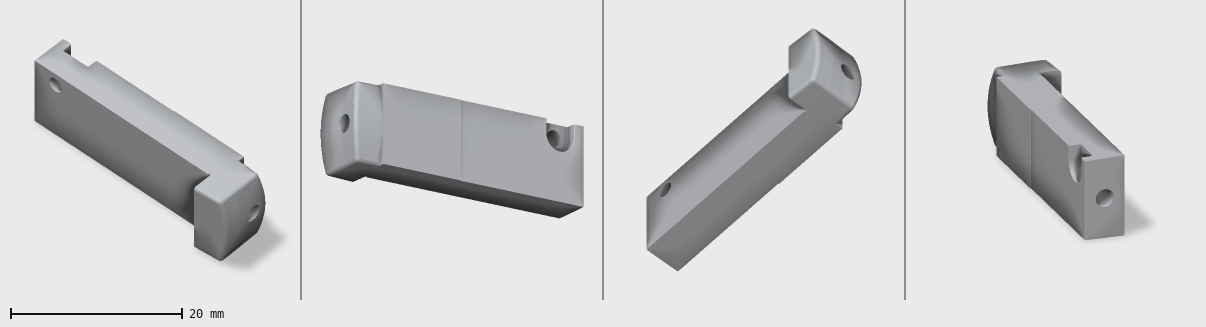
import cadquery as cq

length = 32.5
height = 10.1
body_depth = 4.95
mid_z = height / 2
side_inset = 0.1
side_taper = side_inset / body_depth

pad_start = 17.5
pad_rise = 0.1
rear_y = body_depth + pad_rise

head_start = 27.72
head_reach = 2.75
head_front_drop = 0.35
head_rear_start = 28.55
head_rear_drop = 0.23
edge_fillet = 0.5

crown_edge_x = 31.62
end_waist_y = 2.05
end_waist_x = 32.3
end_rear_x = 32.4

rear_crown_rise = 0.78

groove_width = 0.25
groove_depth = 0.2

long_hole_diameter = 2.25
cross_hole_diameter = 2.0
cross_hole_x = 3.28
cross_hole_z = 8.3
pocket_width = 3.93
pocket_depth = 1.45
pocket_edge_fillet = 0.13

clearance = 1.62
pick_margin = 0.03


def box(x_range, y_range, z_range):
    """Axis-aligned box from (low, high) pairs."""
    spans = [high - low for low, high in (x_range, y_range, z_range)]
    corner = (x_range[0], y_range[0], z_range[0])
    return cq.Workplane("XY").box(*spans, centered=False).translate(corner)


def head_section(y, crown_x):
    """Closed XZ wire at depth y with a crowned right-hand side."""
    low_z = side_taper * max(y, 0)
    high_z = height - low_z
    return (
        cq.Workplane("XZ", origin=(0, y, 0))
        .moveTo(head_start, low_z)
        .lineTo(crown_edge_x, low_z)
        .threePointArc((crown_x, mid_z), (crown_edge_x, high_z))
        .lineTo(head_start, high_z)
        .close()
        .wire()
        .val()
    )


def head_blank():
    """Head block whose end face is waisted between its front and rear."""
    sections = [
        head_section(-head_reach - clearance, length),
        head_section(0, length),
        head_section(end_waist_y, end_waist_x),
        head_section(rear_y + clearance, end_rear_x),
    ]
    blank = None
    for front, rear in zip(sections, sections[1:]):
        slab = cq.Workplane(cq.Solid.makeLoft([front, rear], True))
        blank = slab if blank is None else blank.union(slab)
    corner_zone = cq.selectors.BoxSelector(
        (crown_edge_x - pick_margin, -length, -clearance),
        (crown_edge_x + pick_margin, length, height + clearance),
    )
    return blank.edges(corner_zone).fillet(edge_fillet)


def front_envelope():
    """Space behind the sloping front face of the head."""
    slope = head_front_drop / (length - head_start)
    far_x = length + clearance
    far_y = -head_reach + slope * (far_x - head_start)
    return (
        cq.Workplane("XY")
        .moveTo(head_start, -head_reach)
        .lineTo(far_x, far_y)
        .lineTo(far_x, rear_y + clearance)
        .lineTo(head_start, rear_y + clearance)
        .close()
        .extrude(height)
    )


def rear_section(x, crown_y):
    """Closed YZ wire at x with a crowned rear side."""
    edge_y = crown_y - rear_crown_rise
    front_y = -head_reach - clearance
    return (
        cq.Workplane("YZ", origin=(x, 0, 0))
        .moveTo(front_y, 0)
        .lineTo(edge_y, 0)
        .threePointArc((crown_y, mid_z), (edge_y, height))
        .lineTo(front_y, height)
        .close()
        .wire()
        .val()
    )


def rear_envelope():
    """Space in front of the crowned, slightly sloping rear face of the head."""
    slope = head_rear_drop / (length - head_start)
    sections = []
    for x in (head_start, length + clearance):
        crown_y = rear_y - slope * (x - head_start)
        sections.append(rear_section(x, crown_y))
    return cq.Workplane(cq.Solid.makeLoft(sections, True))


def make_head():
    head = head_blank().intersect(front_envelope()).intersect(rear_envelope())
    head = head.faces("<Y").edges("not <X").fillet(edge_fillet)
    return head.faces(">Y").edges("not <X").fillet(edge_fillet)


def tapered_bar(start_x, depth):
    """Bar from start_x to the head whose upper and lower sides taper rearwards."""
    inset = side_taper * depth
    return (
        cq.Workplane("YZ", origin=(start_x, 0, 0))
        .polyline([(0, 0), (depth, inset), (depth, height - inset), (0, height)])
        .close()
        .extrude(head_rear_start - start_x)
    )


def make_body():
    body = tapered_bar(0, body_depth)
    pad = tapered_bar(pad_start, rear_y)
    groove = box((head_start - groove_width, head_start), (0, groove_depth), (0, height))
    return body.union(pad).cut(groove)


def cut_pocket(part):
    """U-shaped pocket around the cross hole, open upwards and to the rear."""
    floor_y = body_depth - pocket_depth
    round_end = (
        cq.Workplane("XZ", origin=(cross_hole_x, body_depth, cross_hole_z))
        .circle(pocket_width / 2)
        .extrude(pocket_depth)
    )
    half_width = pocket_width / 2
    mouth = box(
        (cross_hole_x - half_width, cross_hole_x + half_width),
        (floor_y, body_depth),
        (cross_hole_z, height + clearance),
    )
    cutter = round_end.union(mouth).faces("<Y").edges().fillet(pocket_edge_fillet)
    part = part.cut(cutter)
    rim_zone = cq.selectors.BoxSelector(
        (cross_hole_x - pocket_width, body_depth - pick_margin, cross_hole_z - pocket_width),
        (cross_hole_x + pocket_width, body_depth + pick_margin, height - side_inset - pick_margin),
    )
    return part.edges(rim_zone).fillet(pocket_edge_fillet)


def long_hole():
    return (
        cq.Workplane("YZ", origin=(-clearance, body_depth / 2, mid_z))
        .circle(long_hole_diameter / 2)
        .extrude(length + 2 * clearance)
    )


def cross_hole():
    return (
        cq.Workplane("XZ", origin=(cross_hole_x, rear_y, cross_hole_z))
        .circle(cross_hole_diameter / 2)
        .extrude(rear_y + clearance)
    )


body = cut_pocket(make_body())
result = body.union(make_head()).cut(long_hole()).cut(cross_hole())